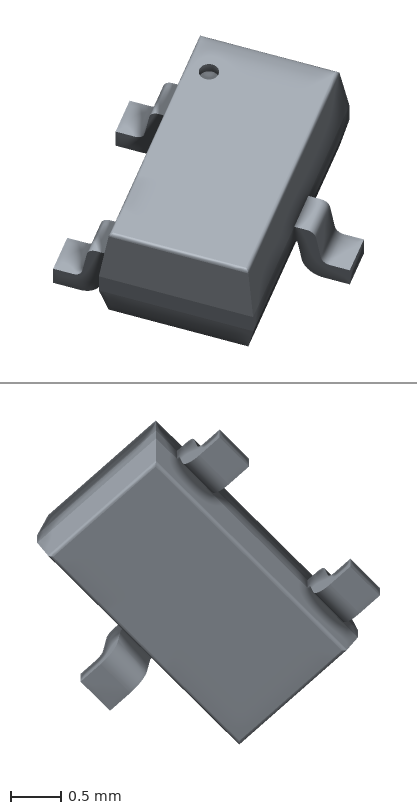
import cadquery as cq
import math

housing_width = 1.63
housing_length = 2.93
housing_bottom = 0.073
housing_top = 1.25
cap_inset = 0.082
cap_fillet = 0.038

lead_span = 2.8
lead_thickness = 0.217
lead_width = 0.428
lead_pitch = 0.95
lead_top = 0.662
foot_length = 0.208
bend_radius = 0.1
heel_radius = 0.235
shank_lean = math.radians(10)

belt_top = lead_top
belt_bottom = lead_top - lead_thickness

mark_diameter = 0.202
mark_depth = 0.11
mark_x = -0.49
mark_y = lead_pitch


def make_cap(base_z, end_z):
    """Tapered block from the belt outline at base_z to the narrower face at end_z."""
    return (
        cq.Workplane("XY", origin=(0, 0, base_z))
        .rect(housing_width, housing_length)
        .workplane(offset=end_z - base_z)
        .rect(housing_width - 2 * cap_inset, housing_length - 2 * cap_inset)
        .loft(ruled=True)
    )


def make_housing():
    """Belt with both caps, rounded end faces and the pin 1 mark."""
    belt = (
        cq.Workplane("XY", origin=(0, 0, belt_bottom))
        .rect(housing_width, housing_length)
        .extrude(belt_top - belt_bottom)
    )
    upper_cap = make_cap(belt_top, housing_top)
    lower_cap = make_cap(belt_bottom, housing_bottom)
    body = belt.union(upper_cap).union(lower_cap)
    body = body.faces(">Z or <Z").edges().fillet(cap_fillet)
    mark = (
        cq.Workplane("XY", origin=(mark_x, mark_y, housing_top - mark_depth))
        .circle(mark_diameter / 2)
        .extrude(mark_depth)
    )
    return body.cut(mark)


def arc_point(center, radius, angle):
    """Point on a circle in the XZ plane, angle measured from +X toward +Z."""
    return (center[0] + radius * math.cos(angle), center[1] + radius * math.sin(angle))


def make_left_lead(center_y):
    """Lead that runs from the left belt wall down to its foot."""
    tip_x = -lead_span / 2
    wall_x = -housing_width / 2

    lower_center = (tip_x + foot_length, lead_thickness + bend_radius)
    shank_end_angle = -shank_lean
    foot_end_angle = -math.pi / 2
    lower_mid_angle = (shank_end_angle + foot_end_angle) / 2
    inner_start = arc_point(lower_center, bend_radius, shank_end_angle)

    shank_slope = math.tan(shank_lean)
    upper_center_z = lead_top - bend_radius
    upper_tangent_z = upper_center_z + bend_radius * math.sin(shank_lean)
    upper_tangent_x = inner_start[0] + (upper_tangent_z - inner_start[1]) * shank_slope
    upper_center = (upper_tangent_x + bend_radius * math.cos(shank_lean), upper_center_z)
    upper_start_angle = math.pi - shank_lean
    upper_mid_angle = (upper_start_angle + math.pi / 2) / 2

    face_offset = bend_radius + lead_thickness - heel_radius
    heel_center_z = heel_radius
    heel_center_x = (
        lower_center[0]
        + face_offset / math.cos(shank_lean)
        + (heel_center_z - lower_center[1]) * shank_slope
    )
    heel_center = (heel_center_x, heel_center_z)
    heel_end = arc_point(heel_center, heel_radius, shank_end_angle)

    corner_x = heel_end[0] + (belt_bottom - heel_end[1]) * shank_slope

    return (
        cq.Workplane("XZ", origin=(0, center_y + lead_width / 2, 0))
        .moveTo(tip_x, 0)
        .lineTo(tip_x, lead_thickness)
        .lineTo(lower_center[0], lead_thickness)
        .threePointArc(arc_point(lower_center, bend_radius, lower_mid_angle), inner_start)
        .lineTo(upper_tangent_x, upper_tangent_z)
        .threePointArc(
            arc_point(upper_center, bend_radius, upper_mid_angle),
            (upper_center[0], lead_top),
        )
        .lineTo(wall_x, lead_top)
        .lineTo(wall_x, belt_bottom)
        .lineTo(corner_x, belt_bottom)
        .lineTo(*heel_end)
        .threePointArc(
            arc_point(heel_center, heel_radius, lower_mid_angle),
            (heel_center[0], 0),
        )
        .close()
        .extrude(lead_width)
    )


housing = make_housing()

leads = [make_left_lead(center_y) for center_y in (-lead_pitch, lead_pitch)]
leads.append(make_left_lead(0).rotate((0, 0, 0), (0, 0, 1), 180))

result = cq.Compound.makeCompound([housing.val(), *[lead.val() for lead in leads]])